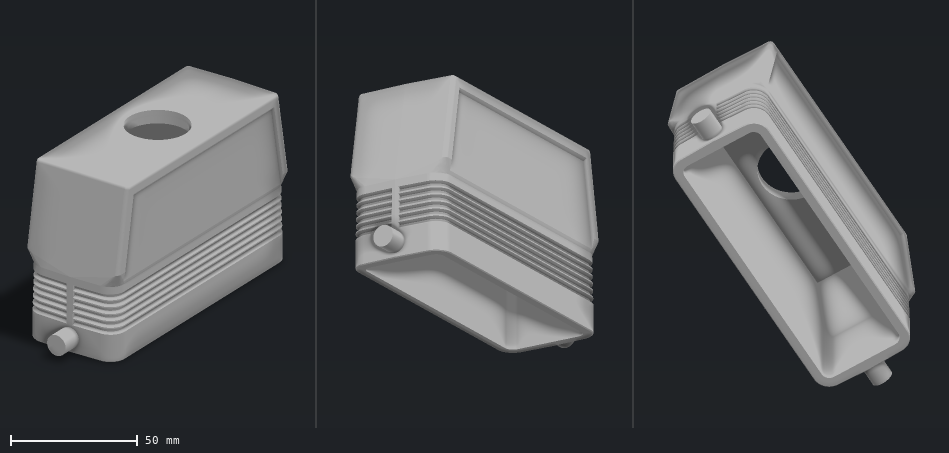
import cadquery as cq
import math

total_height = 76.0
base_height = 12.0
neck_top = 33.0
shoulder_top = 39.0

base_half_width = 21.6
base_half_length = 60.2
neck_half_width = 21.2
neck_half_length = 59.9
lower_corner_radius = 7.0
lower_end_slope = 0.035
foot_chamfer = 0.4

hood_half_width = 22.5
hood_end_lean = math.radians(10.3)
hood_end_slope = 0.02
roof_slope = 0.01
hood_edge_radius = 1.75
shoulder_end_half_length = 58.45

groove_count = 6
groove_pitch = 3.0
first_groove_height = 13.45
groove_depth = 1.25
groove_mouth = 2.5
groove_floor = 0.8
strip_half_width = 1.5
strip_root_half_width = 1.9
strip_embed = 1.75

panel_depth = 0.95
panel_top = 71.0
panel_top_half_length = 48.0
panel_top_bevel = 1.4
panel_end_bevel = 1.0

entry_diameter = 27.0
pin_diameter = 9.0
pin_height = 6.5
overall_length = 138.2

wall = 3.5
roof_thickness = 6.0
cavity_corner_radius = 3.5

hood_height = total_height - neck_top
hood_end_inset = hood_height * math.tan(hood_end_lean)


def peaked_rectangle(half_width, half_length, end_slope):
    """Corner points of a rectangle whose two short ends rise to a low peak at x = 0."""
    corner = half_length - end_slope * half_width
    return [
        (-half_width, -corner),
        (0, -half_length),
        (half_width, -corner),
        (half_width, corner),
        (0, half_length),
        (-half_width, corner),
        (-half_width, -corner),
    ]


def outline(half_width, half_length, end_slope, corner_radius, z):
    """Peaked rectangle with rounded corners, lying at height z."""
    sketch = cq.Sketch().polygon(peaked_rectangle(half_width, half_length, end_slope))
    sketch = sketch.vertices("<X or >X").fillet(corner_radius)
    return sketch.moved(cq.Location(cq.Vector(0, 0, z)))


def lower_outline(z, inset=0.0):
    """Section of the lower block at height z, moved inward by the inset."""
    taper = max(0.0, (z - base_height) / (neck_top - base_height))
    half_width = base_half_width + taper * (neck_half_width - base_half_width)
    half_length = base_half_length + taper * (neck_half_length - base_half_length)
    return outline(
        half_width - inset,
        half_length - inset,
        lower_end_slope,
        lower_corner_radius - inset,
        z,
    )


def loft_sections(sections):
    return cq.Workplane("XY").placeSketch(*sections).loft(ruled=True)


def grooved_lower_block():
    sections = [lower_outline(0, foot_chamfer), lower_outline(foot_chamfer)]
    for i in range(groove_count):
        centre = first_groove_height + i * groove_pitch
        sections.append(lower_outline(centre - groove_mouth / 2))
        sections.append(lower_outline(centre - groove_floor / 2, groove_depth))
        sections.append(lower_outline(centre + groove_floor / 2, groove_depth))
        sections.append(lower_outline(centre + groove_mouth / 2))
    sections.append(lower_outline(neck_top))
    return loft_sections(sections)


def end_strips():
    """Flush strips at both ends, with flanks that widen toward the groove floors."""
    neck = loft_sections([lower_outline(base_height), lower_outline(neck_top)])
    root = neck_half_length - groove_depth - strip_embed
    flank = [
        (strip_half_width, base_half_length),
        (strip_root_half_width, root),
        (-strip_root_half_width, root),
        (-strip_half_width, base_half_length),
    ]
    north = cq.Workplane("XY").polyline(flank).close().extrude(neck_top)
    both = north.union(north.mirror("XZ"))
    return neck.intersect(both)


def hood_block():
    """Upper hood with leaning peaked ends, a peaked roof and rounded outer edges."""
    foot = peaked_rectangle(hood_half_width, neck_half_length, hood_end_slope)
    crown = peaked_rectangle(hood_half_width, neck_half_length - hood_end_inset, hood_end_slope)
    block = (
        cq.Workplane("XY", origin=(0, 0, neck_top))
        .polyline(foot)
        .close()
        .workplane(offset=hood_height)
        .polyline(crown)
        .close()
        .loft(ruled=True)
    )
    eave = total_height - roof_slope * hood_half_width
    gable = [
        (-hood_half_width, neck_top),
        (hood_half_width, neck_top),
        (hood_half_width, eave),
        (0, total_height),
        (-hood_half_width, eave),
    ]
    roof = cq.Workplane("XZ").polyline(gable).close().extrude(neck_half_length, both=True)
    block = block.intersect(roof)

    def is_outer_edge(edge):
        centre = edge.Center()
        return centre.z > shoulder_top and abs(centre.x) > hood_edge_radius

    return block.edges().filter(is_outer_edge).fillet(hood_edge_radius)


def shoulder_envelope():
    """Solid that narrows the hood to the neck below the shoulder and clears it above."""
    peak = shoulder_end_half_length + lower_end_slope * (hood_half_width - hood_edge_radius)
    top_section = outline(
        hood_half_width, peak, lower_end_slope, hood_edge_radius, shoulder_top
    )
    slope = loft_sections([lower_outline(neck_top), top_section])
    clear = cq.Workplane("XY", origin=(0, 0, shoulder_top)).rect(
        2 * hood_half_width, 2 * neck_half_length
    )
    return slope.union(clear.extrude(total_height - shoulder_top))


def side_panels():
    """Cutters for the bevelled recesses in the two side walls, running out at the shoulder."""
    lean = math.tan(hood_end_lean)

    def trapezoid(top, top_half_length):
        bottom_half_length = top_half_length + (top - neck_top) * lean
        return [
            (-bottom_half_length, neck_top),
            (bottom_half_length, neck_top),
            (top_half_length, top),
            (-top_half_length, top),
        ]

    floor_top = panel_top - panel_top_bevel
    floor_half_length = panel_top_half_length + panel_top_bevel * lean - panel_end_bevel
    panel = (
        cq.Workplane("YZ", origin=(hood_half_width, 0, 0))
        .polyline(trapezoid(panel_top, panel_top_half_length))
        .close()
        .workplane(offset=-panel_depth)
        .polyline(trapezoid(floor_top, floor_half_length))
        .close()
        .loft(ruled=True)
    )
    return panel.union(panel.mirror("YZ"))


def locking_pins():
    shaft = cq.Workplane("XZ", origin=(0, 0, pin_height)).circle(pin_diameter / 2)
    return shaft.extrude(overall_length / 2, both=True)


def cavity():
    """Hollow inside the walls, open at the bottom and following the leaning ends."""
    foot = neck_half_length - lower_end_slope * base_half_width - wall
    ceiling = total_height - roof_thickness
    crown = foot - (ceiling - neck_top) * math.tan(hood_end_lean)
    profile = [
        (-foot, 0),
        (foot, 0),
        (foot, neck_top),
        (crown, ceiling),
        (-crown, ceiling),
        (-foot, neck_top),
    ]
    hollow = cq.Workplane("YZ").polyline(profile).close().extrude(neck_half_width - wall, both=True)
    return hollow.edges("|Z").fillet(cavity_corner_radius)


def cable_entry():
    return cq.Workplane("XY").circle(entry_diameter / 2).extrude(total_height)


hood = hood_block().intersect(shoulder_envelope()).cut(side_panels())
outer = grooved_lower_block().union(end_strips()).union(hood).union(locking_pins())
result = outer.cut(cavity()).cut(cable_entry())